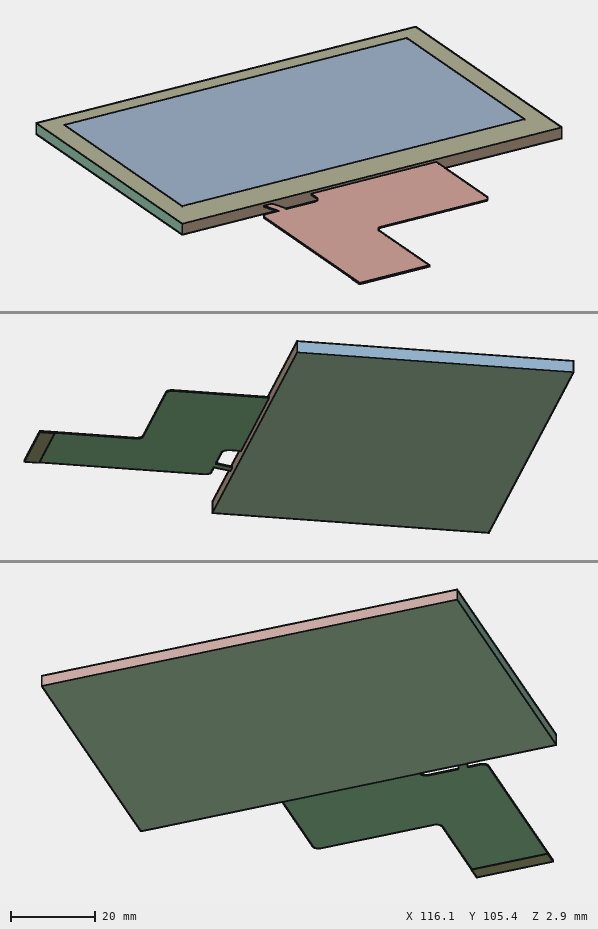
import cadquery as cq

overall_length = 116.1
panel_width = 66.9
panel_height = 105.4
panel_thickness = 2.9

glass_width = 53.9
glass_height = 95.1
glass_left = 4.4
glass_thickness = 0.6

flex_thickness = 0.29
flex_top_drop = 0.7
body_reach = 24.6
body_top = 17.9
tail_top = -13.9
tail_width = 19.4
outer_radius = 1.5
inner_radius = 1.5

notch_reach = 4.3
notch_top = -17.0
notch_radius = 1.7
strip_panel_top = -27.7
strip_flex_top = -26.2
strip_width = 2.3

contact_end_length = 3.6
contact_end_thickness = 0.1

body_right = panel_width + body_reach
notch_right = panel_width + notch_reach
tail_bottom = tail_top - tail_width
flex_bottom_z = panel_thickness - flex_top_drop - flex_thickness


def make_glass():
    """Rectangular display glass, level with the panel face."""
    return (
        cq.Workplane("XY")
        .workplane(offset=panel_thickness - glass_thickness)
        .move(glass_left + glass_width / 2, 0)
        .rect(glass_width, glass_height)
        .extrude(glass_thickness)
    )


def make_panel(glass):
    """Plate with a recess that fits the display glass."""
    plate = cq.Workplane("XY").box(
        panel_width, panel_height, panel_thickness, centered=(False, True, False)
    )
    return plate.cut(glass)


def round_corner(solid, x, y, radius):
    """Round the vertical edge of the flex at (x, y)."""
    corner = cq.selectors.NearestToPointSelector((x, y, flex_bottom_z + flex_thickness / 2))
    return solid.edges("|Z").edges(corner).fillet(radius)


def make_contact_end():
    """Thickened strip on the underside of the tail end."""
    return (
        cq.Workplane("XY")
        .workplane(offset=flex_bottom_z - contact_end_thickness)
        .moveTo(overall_length - contact_end_length, tail_bottom)
        .rect(contact_end_length, tail_width, centered=False)
        .extrude(contact_end_thickness)
    )


def make_flex():
    """L-shaped flex joined to the panel by its wide body and a slanted strip."""
    flex = (
        cq.Workplane("XY")
        .workplane(offset=flex_bottom_z)
        .moveTo(panel_width, body_top)
        .lineTo(body_right, body_top)
        .lineTo(body_right, tail_top)
        .lineTo(overall_length, tail_top)
        .lineTo(overall_length, tail_bottom)
        .lineTo(notch_right, tail_bottom)
        .lineTo(notch_right, strip_flex_top - strip_width)
        .lineTo(panel_width, strip_panel_top - strip_width)
        .lineTo(panel_width, strip_panel_top)
        .lineTo(notch_right, strip_flex_top)
        .lineTo(notch_right, notch_top)
        .lineTo(panel_width, notch_top)
        .close()
        .extrude(flex_thickness)
    )
    flex = round_corner(flex, body_right, body_top, outer_radius)
    flex = round_corner(flex, body_right, tail_top, inner_radius)
    flex = round_corner(flex, notch_right, tail_bottom, outer_radius)
    flex = round_corner(flex, notch_right, notch_top, notch_radius)
    return flex.union(make_contact_end())


glass = make_glass()
panel = make_panel(glass)
flex = make_flex()

result = cq.Compound.makeCompound([panel.val(), glass.val(), flex.val()])